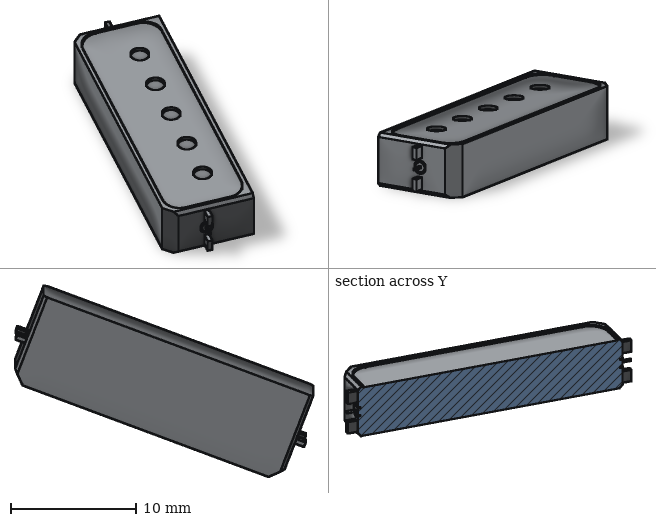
import cadquery as cq
total_length = 24.6
width = 7.4
height = 4.4

body_length = 23.0
corner_chamfer = 1.0
end_chamfer = 0.3

rim_side = 0.37
rim_end = 0.5
opening_length = body_length - 2 * rim_end
opening_width = width - 2 * rim_side
opening_corner_radius = 1.4
opening_depth = 0.3
lid_corner_radius = 1.6
lid_setback = 0.1
lid_top_z = height / 2 - lid_setback

hole_diameter = 1.5
hole_depth = 0.3
hole_count = 5
hole_row_length = 15
hole_pitch = hole_row_length / (hole_count - 1)
hole_row_y = 0.76

lead_reach = (total_length - body_length) / 2
lead_y = -0.3
pin_diameter = 0.2
tab_thickness = 0.4
tab_height = 1.0
tab_offset_z = 1.3

groove_outer_diameter = 0.95
groove_inner_diameter = 0.85
groove_depth = 0.2
countersink_diameter = 1.08
countersink_depth = (countersink_diameter - groove_outer_diameter) / 2


def make_housing():
    block = cq.Workplane("XY").box(body_length, width, height)
    block = block.edges("|Z and <Y").chamfer(corner_chamfer)
    end_profile = (
        cq.Workplane("XY")
        .box(body_length, width, height)
        .edges("|Y")
        .chamfer(end_chamfer)
    )
    return block.intersect(end_profile)


def rounded_slab(corner_radius, top_z, bottom_z):
    """Slab with the footprint of the lid opening and the given corner radius."""
    return (
        cq.Workplane("XY", origin=(0, 0, bottom_z))
        .rect(opening_length, opening_width)
        .extrude(top_z - bottom_z)
        .edges("|Z")
        .fillet(corner_radius)
    )


def make_lid_clearance():
    """Empty space above the lid and in the gaps at its corners."""
    floor_z = height / 2 - opening_depth
    opening = rounded_slab(opening_corner_radius, height / 2, floor_z)
    lid = rounded_slab(lid_corner_radius, lid_top_z, floor_z)
    return opening.cut(lid)


def make_lid_holes():
    return (
        cq.Workplane("XY", origin=(0, 0, lid_top_z))
        .center(0, hole_row_y)
        .rarray(hole_pitch, 0.25, hole_count, 1)
        .circle(hole_diameter / 2)
        .extrude(-hole_depth)
    )


def end_plane(side):
    """Plane on an end face, centred on the pin, with its normal pointing outward."""
    return cq.Plane(
        origin=(side * body_length / 2, lead_y, 0),
        xDir=(0, 1, 0),
        normal=(side, 0, 0),
    )


def make_pin_groove(side):
    """Groove with a 45 degree countersink, revolved about the pin axis."""
    inner = groove_inner_diameter / 2
    outer = groove_outer_diameter / 2
    axis_plane = cq.Plane(
        origin=(side * body_length / 2, lead_y, 0),
        xDir=(0, 1, 0),
        normal=(0, 0, side),
    )
    return (
        cq.Workplane(axis_plane)
        .moveTo(inner, 0)
        .lineTo(countersink_diameter / 2, 0)
        .lineTo(outer, countersink_depth)
        .lineTo(outer, groove_depth)
        .lineTo(inner, groove_depth)
        .close()
        .revolve(360, (0, 0), (0, 1))
    )


def make_leads(side):
    pin = cq.Workplane(end_plane(side)).circle(pin_diameter / 2).extrude(lead_reach)
    tabs = (
        cq.Workplane(end_plane(side))
        .pushPoints([(0, tab_offset_z), (0, -tab_offset_z)])
        .rect(tab_thickness, tab_height)
        .extrude(lead_reach)
    )
    return pin.union(tabs)


result = make_housing().cut(make_lid_clearance()).cut(make_lid_holes())
for end in (-1, 1):
    result = result.cut(make_pin_groove(end)).union(make_leads(end))